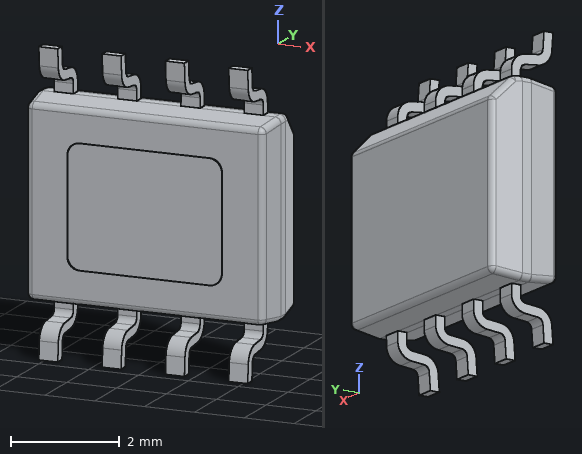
import cadquery as cq
import math


HOUSING_WIDTH = 4.9
HOUSING_LENGTH = 3.9
HOUSING_THICKNESS = 1.475
BAND_THICKNESS = 0.2
DRAFT_ANGLE = 7.0
EDGE_RADIUS = 0.122
BEVEL_SIZE = 0.485

PAD_WIDTH = 3.1
PAD_LENGTH = 2.42
PAD_CORNER_RADIUS = 0.25
PAD_HEIGHT = 0.02

LEADS_PER_SIDE = 4
LEAD_PITCH = 1.27
LEAD_WIDTH = 0.385
LEAD_THICKNESS = BAND_THICKNESS
LEAD_SPAN = 5.96
FOOT_DEPTH = 0.815
SHOULDER_LENGTH = 0.2
INNER_BEND_RADIUS = 0.13
OUTER_BEND_RADIUS = INNER_BEND_RADIUS + LEAD_THICKNESS
SHANK_ANGLE = 6.0
FOOT_ANGLE = 4.0

BACK_Y = HOUSING_THICKNESS / 2
FRONT_Y = -HOUSING_THICKNESS / 2
HALF_BAND = BAND_THICKNESS / 2
HALF_LENGTH = HOUSING_LENGTH / 2


def drafted_half(direction):
    """Drafted half of the housing beside the band, running to +Y (direction 1) or -Y (direction -1)."""
    drafted_depth = BACK_Y - HALF_BAND
    outline = cq.Workplane("XZ", origin=(0, direction * HALF_BAND, 0)).rect(HOUSING_WIDTH, HOUSING_LENGTH)
    return outline.extrude(-direction * drafted_depth, taper=DRAFT_ANGLE)


def bounds_band(edge):
    """True for a level edge where the straight band meets a drafted wall."""
    tolerance = 1e-3
    extent = edge.BoundingBox()
    is_level = extent.ylen < tolerance
    return is_level and abs(abs(extent.center.y) - HALF_BAND) < tolerance


def make_housing():
    band = cq.Workplane("XY").box(HOUSING_WIDTH, BAND_THICKNESS, HOUSING_LENGTH)
    shell = band.union(drafted_half(1)).union(drafted_half(-1))

    bevel = (
        cq.Workplane("YZ")
        .polyline([
            (BACK_Y, HALF_LENGTH - BEVEL_SIZE),
            (BACK_Y, HALF_LENGTH),
            (BACK_Y - BEVEL_SIZE, HALF_LENGTH),
        ])
        .close()
        .extrude(HOUSING_WIDTH, both=True)
    )
    shell = shell.cut(bevel)

    rounded_edges = [edge for edge in shell.edges().vals() if not bounds_band(edge)]
    shell = shell.newObject(rounded_edges).fillet(EDGE_RADIUS)

    pad = (
        cq.Workplane("XZ", origin=(0, FRONT_Y, 0))
        .rect(PAD_WIDTH, PAD_LENGTH)
        .extrude(PAD_HEIGHT)
        .edges("|Y")
        .fillet(PAD_CORNER_RADIUS)
    )
    return shell.union(pad)


def lead_profile():
    """Sharp-cornered gull-wing outline of the +Z lead as (y, z) points."""
    shank = math.radians(SHANK_ANGLE)
    foot = math.radians(FOOT_ANGLE)
    half = LEAD_THICKNESS / 2
    tip_z = LEAD_SPAN / 2

    corner_factor = math.tan((math.pi / 2 - shank) / 2)
    inner_knee = (-half, HALF_LENGTH + SHOULDER_LENGTH + INNER_BEND_RADIUS * corner_factor)
    outer_knee = (half, inner_knee[1] + LEAD_THICKNESS * corner_factor)

    foot_end_width = LEAD_THICKNESS / math.cos(foot)

    def ankle(knee, tip_y):
        """Meeting point of the shank line through a knee with the foot line through a tip point."""
        rise = math.tan(shank)
        lean = math.tan(foot)
        z = (knee[1] + rise * (knee[0] - tip_y - lean * tip_z)) / (1 - rise * lean)
        return (tip_y + lean * (tip_z - z), z)

    front_tip_y = -FOOT_DEPTH
    back_tip_y = front_tip_y + foot_end_width
    return [
        (-half, HALF_LENGTH),
        inner_knee,
        ankle(inner_knee, front_tip_y),
        (front_tip_y, tip_z),
        (back_tip_y, tip_z),
        ankle(outer_knee, back_tip_y),
        outer_knee,
        (half, HALF_LENGTH),
    ]


def make_lead(x, side):
    """Gull-wing lead centred at x on the +Z (side 1) or -Z (side -1) edge of the housing."""
    points = lead_profile()
    lead = (
        cq.Workplane("YZ")
        .polyline(points)
        .close()
        .extrude(LEAD_WIDTH / 2, both=True)
    )
    _, inner_knee, outer_ankle, _, _, inner_ankle, outer_knee, _ = points
    for corners, radius in (
        ((inner_knee, inner_ankle), INNER_BEND_RADIUS),
        ((outer_knee, outer_ankle), OUTER_BEND_RADIUS),
    ):
        for y, z in corners:
            lead = lead.edges(cq.selectors.NearestToPointSelector((0, y, z))).fillet(radius)
    if side < 0:
        lead = lead.mirror("XY")
    return lead.translate((x, 0, 0))


housing = make_housing()

leads = []
for side in (1, -1):
    for index in range(LEADS_PER_SIDE):
        lead_x = (index - (LEADS_PER_SIDE - 1) / 2) * LEAD_PITCH
        leads.append(make_lead(lead_x, side))

result = cq.Compound.makeCompound([housing.solids().val(), *[lead.val() for lead in leads]])